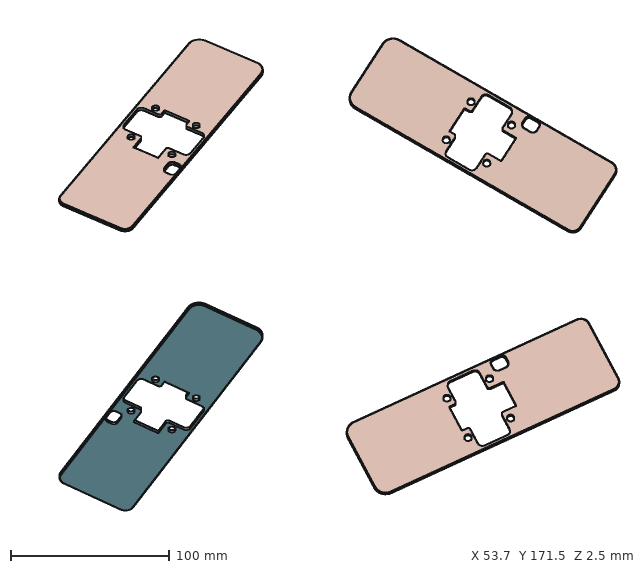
import cadquery as cq

PLATE_WIDTH = 53.7
PLATE_LENGTH = 171.46
PLATE_THICKNESS = 2.5
REAR_CORNER_RADIUS = 8.0
FRONT_CORNER_RADIUS = 6.0
PLATE_EDGE_CHAMFER = 0.6

PATTERN_CENTER_Y = 2.6
HOLE_SPACING = 30.0
HOLE_DIAMETER = 4.7

CROSSBAR_WIDTH = 49.0
CROSSBAR_HEIGHT = 22.3
CROSSBAR_CORNER_RADIUS = 3.25
UPRIGHT_WIDTH = 18.2
UPRIGHT_TOP_Y = 18.9
UPRIGHT_BOTTOM_Y = -19.4
INNER_CORNER_RADIUS = 1.5
SELECTION_MARGIN = 0.5

SLOT_CENTER_X = 21.6
SLOT_CENTER_Y = -22.8
SLOT_WIDTH = 8.3
SLOT_LENGTH = 10.0
SLOT_CORNER_RADIUS = 2.75
SLOT_EDGE_CHAMFER = 0.4
CHAMFER_ANGLE = 45.0


def rounded_block(width, length, corner_radius):
    """Block as thick as the plate, centred on the origin, with rounded vertical edges."""
    return cq.Workplane("XY").box(width, length, PLATE_THICKNESS).edges("|Z").fillet(corner_radius)


def make_plate():
    plate = cq.Workplane("XY").box(PLATE_WIDTH, PLATE_LENGTH, PLATE_THICKNESS)
    plate = plate.edges("|Z and >Y").fillet(REAR_CORNER_RADIUS)
    plate = plate.edges("|Z and <Y").fillet(FRONT_CORNER_RADIUS)
    return plate.faces("<Z or >Z").edges().chamfer(PLATE_EDGE_CHAMFER)


def make_cross_window():
    crossbar = rounded_block(CROSSBAR_WIDTH, CROSSBAR_HEIGHT, CROSSBAR_CORNER_RADIUS)
    crossbar = crossbar.translate((0, PATTERN_CENTER_Y, 0))
    upright_height = UPRIGHT_TOP_Y - UPRIGHT_BOTTOM_Y
    upright_center_y = (UPRIGHT_TOP_Y + UPRIGHT_BOTTOM_Y) / 2
    upright = cq.Workplane("XY").box(UPRIGHT_WIDTH, upright_height, PLATE_THICKNESS)
    cross = crossbar.union(upright.translate((0, upright_center_y, 0)))

    crossbar_top_y = PATTERN_CENTER_Y + CROSSBAR_HEIGHT / 2
    crossbar_bottom_y = PATTERN_CENTER_Y - CROSSBAR_HEIGHT / 2

    corner_zone = cq.selectors.BoxSelector(
        (-UPRIGHT_WIDTH / 2 - SELECTION_MARGIN, crossbar_bottom_y - SELECTION_MARGIN, -PLATE_THICKNESS),
        (UPRIGHT_WIDTH / 2 + SELECTION_MARGIN, crossbar_top_y + SELECTION_MARGIN, PLATE_THICKNESS),
    )
    return cross.edges("|Z").edges(corner_zone).fillet(INNER_CORNER_RADIUS)


def make_mounting_holes():
    return (
        cq.Workplane("XY")
        .workplane(offset=-PLATE_THICKNESS / 2)
        .center(0, PATTERN_CENTER_Y)
        .rect(HOLE_SPACING, HOLE_SPACING, forConstruction=True)
        .vertices()
        .circle(HOLE_DIAMETER / 2)
        .extrude(PLATE_THICKNESS)
    )


def make_side_slot():
    """Rounded slot with a chamfered rim at the top face of the plate."""
    slot = rounded_block(SLOT_WIDTH, SLOT_LENGTH, SLOT_CORNER_RADIUS)
    rim_flare = (
        cq.Workplane("XY")
        .workplane(offset=PLATE_THICKNESS / 2)
        .sketch()
        .rect(SLOT_WIDTH + 2 * SLOT_EDGE_CHAMFER, SLOT_LENGTH + 2 * SLOT_EDGE_CHAMFER)
        .vertices()
        .fillet(SLOT_CORNER_RADIUS + SLOT_EDGE_CHAMFER)
        .finalize()
        .extrude(-SLOT_EDGE_CHAMFER, taper=CHAMFER_ANGLE)
    )
    return slot.union(rim_flare).translate((SLOT_CENTER_X, SLOT_CENTER_Y, 0))


result = make_plate().cut(make_cross_window()).cut(make_mounting_holes()).cut(make_side_slot())